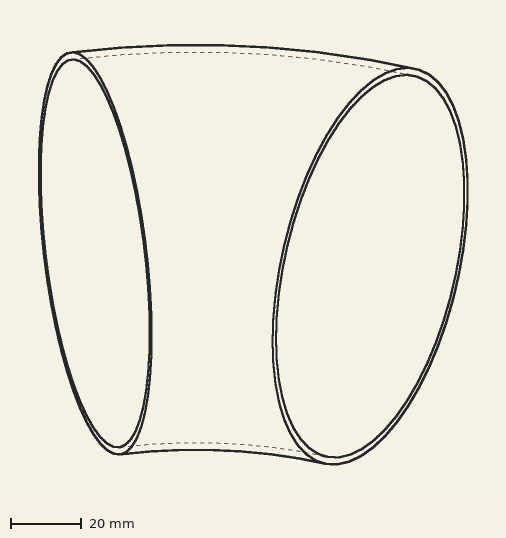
import cadquery as cq

outer_diameter = 114.3
wall = 2.0
bend_radius = 102.0
bend_angle = 45.0

outer_radius = outer_diameter / 2
inner_radius = outer_radius - wall

result = (
    cq.Workplane("XZ")
    .circle(outer_radius)
    .circle(inner_radius)
    .revolve(bend_angle, (bend_radius, 0, 0), (bend_radius, -1, 0))
)